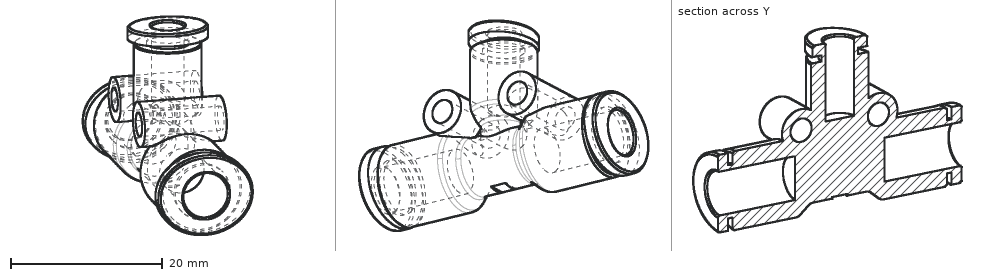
import cadquery as cq


SIDES = (-1, 1)

body_radius = 5.6
body_half_length = 16.65
body_end_chamfer = 0.3
waist_radius = 4.0
waist_half_length = 4.53
shoulder_half_length = 6.43
shoulder_fillet = 1.0

branch_radius = 4.5
branch_top = 15.65
branch_edge_chamfer = 0.15
stem_radius = 3.05
stem_top = 5.0
branch_shoulder = 6.75
branch_fillet = 0.9

run_collet_end = 18.95
run_flange_width = 13.0
run_flange_height = 11.0
run_neck_radius = 3.78
run_bore_radius = 3.05
run_bore_depth = 12.0

branch_collet_end = 18.1
branch_flange_width = 10.85
branch_flange_height = 8.6
branch_neck_radius = 2.84
branch_bore_radius = 2.15
branch_bore_depth = 11.0

flange_thickness = 1.65
flange_chamfer = 0.28
bore_chamfer = 0.25
bore_mouth_angle = 45.0
neck_overlap = 0.5

lug_offset_x = 6.0
lug_height = 6.55
lug_radius = 3.0
lug_hole_radius = 1.6
lug_length = 11.25

web_thickness = 1.0

flat_width = 2.3
flat_depth = 0.22


def fillet_ring(solid, axis_point, radius):
    """Round the circular edge of a turned solid whose center is nearest to axis_point."""
    return solid.edges(cq.selectors.NearestToPointSelector(axis_point)).fillet(radius)


def run_body():
    """Turned run: two wide end barrels joined through cone shoulders by a narrower waist."""
    right_outline = [
        (waist_half_length, waist_radius),
        (shoulder_half_length, body_radius),
        (body_half_length - body_end_chamfer, body_radius),
        (body_half_length, body_radius - body_end_chamfer),
        (body_half_length, 0),
    ]
    left_outline = [(-x, radius) for x, radius in reversed(right_outline)]
    profile = cq.Workplane("XY").polyline(left_outline + right_outline).close()
    body = profile.revolve(360, (0, 0, 0), (1, 0, 0))
    for side in SIDES:
        body = fillet_ring(body, (side * waist_half_length, 0, 0), shoulder_fillet)
        body = fillet_ring(body, (side * shoulder_half_length, 0, 0), shoulder_fillet)
    return body


def branch_body():
    """Turned branch: a narrow stem widening through a cone shoulder into the upper barrel."""
    profile = [
        (0, 0),
        (stem_radius, 0),
        (stem_radius, stem_top),
        (branch_radius, branch_shoulder),
        (branch_radius, branch_top - branch_edge_chamfer),
        (branch_radius - branch_edge_chamfer, branch_top),
        (0, branch_top),
    ]
    branch = cq.Workplane("XZ").polyline(profile).close().revolve(360, (0, 0, 0), (0, 1, 0))
    branch = fillet_ring(branch, (0, 0, stem_top), branch_fillet)
    return fillet_ring(branch, (0, 0, branch_shoulder), branch_fillet)


def collet(end_plane, width, height, neck_radius, neck_length):
    """Oval flange with its outer face on end_plane and its width along Y, plus its neck."""
    outline = cq.Workplane(end_plane).ellipse(width / 2, height / 2)
    flange = outline.extrude(-flange_thickness)
    outer_face = flange.faces(cq.selectors.DirectionMinMaxSelector(end_plane.zDir))
    flange = outer_face.edges().chamfer(flange_chamfer)
    neck = cq.Workplane(end_plane).circle(neck_radius).extrude(-neck_length)
    return flange.union(neck)


def bore(end_plane, radius, depth):
    """Blind tube socket going in from end_plane, with a chamfered mouth."""
    hole = cq.Workplane(end_plane).circle(radius).extrude(-depth)
    mouth_radius = radius + bore_chamfer
    mouth = cq.Workplane(end_plane).circle(mouth_radius).extrude(-bore_chamfer, taper=bore_mouth_angle)
    return hole.union(mouth)


def lug_cylinder(side, radius):
    """Cylinder along Y on the axis of the lug at the given side."""
    end = cq.Workplane("XZ", origin=(side * lug_offset_x, lug_length / 2, lug_height))
    return end.circle(radius).extrude(lug_length)


def corner_web():
    """Thin wall on the plane Y = 0 closing the gaps between waist, stem and lugs."""
    base = cq.Workplane("XY").rect(2 * lug_offset_x, web_thickness)
    return base.extrude(lug_height)


def waist_flat():
    """Block whose removal leaves the flat on the underside of the waist."""
    bottom = cq.Workplane("XY", origin=(0, 0, -waist_radius))
    return bottom.rect(flat_width, 2 * waist_radius).extrude(flat_depth)


result = run_body().union(branch_body()).union(corner_web())
for side in SIDES:
    result = result.union(lug_cylinder(side, lug_radius))

run_planes = [
    cq.Plane(origin=(side * run_collet_end, 0, 0), xDir=(0, 1, 0), normal=(side, 0, 0))
    for side in SIDES
]
branch_plane = cq.Plane(origin=(0, 0, branch_collet_end), xDir=(0, 1, 0), normal=(0, 0, 1))
run_neck_length = run_collet_end - body_half_length + neck_overlap
branch_neck_length = branch_collet_end - branch_top + neck_overlap

for plane in run_planes:
    run_collet = collet(
        plane, run_flange_width, run_flange_height, run_neck_radius, run_neck_length
    )
    result = result.union(run_collet)
branch_collet = collet(
    branch_plane, branch_flange_width, branch_flange_height, branch_neck_radius, branch_neck_length
)
result = result.union(branch_collet)

for plane in run_planes:
    result = result.cut(bore(plane, run_bore_radius, run_bore_depth))
result = result.cut(bore(branch_plane, branch_bore_radius, branch_bore_depth))
for side in SIDES:
    result = result.cut(lug_cylinder(side, lug_hole_radius))
result = result.cut(waist_flat())